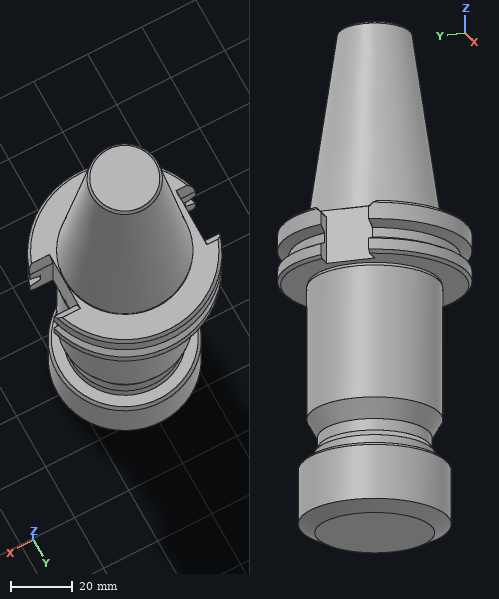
import cadquery as cq

total_height = 173.2
nut_edge_z = 3.0
nut_top_z = 22.7
collar_top_z = 26.9
neck_bottom_z = 29.0
neck_top_z = 33.0
body_bottom_z = 39.2
flange_bottom_z = 86.0
flange_top_z = 104.3
taper_base_z = 105.2

nut_diameter = 50.0
nut_face_diameter = 39.2
collar_diameter = 40.0
neck_diameter = 37.5
body_diameter = 44.5
relief_diameter = 43.8
flange_diameter = 63.5
groove_diameter = 56.1
taper_base_diameter = 44.5
taper_tip_diameter = 24.6

nut_chamfer = 1.0
relief_height = 1.0
flange_chamfer = 1.0
groove_floor_bottom_z = 92.5
groove_floor_top_z = 95.8
groove_flank_height = 1.7
tip_chamfer_radial = 0.9
tip_chamfer_height = 0.9

slot_width = 16.5
slot_chamfer = 2.5
left_floor_x = -24.8
right_floor_x = 22.2


def revolve_profile(points):
    """Revolve (diameter, height) points about the Z axis into a solid."""
    bottom, top = points[0][1], points[-1][1]
    outline = [(0, bottom)] + [(diameter / 2, z) for diameter, z in points] + [(0, top)]
    return cq.Workplane("XZ").polyline(outline).close().revolve(360, (0, 0), (0, 1))


def make_nut_and_body():
    """Clamping nut, threaded collar, neck and cylindrical body up to the flange."""
    return revolve_profile([
        (nut_face_diameter, 0),
        (nut_diameter, nut_edge_z),
        (nut_diameter, nut_top_z - nut_chamfer),
        (nut_diameter - 2 * nut_chamfer, nut_top_z),
        (collar_diameter, nut_top_z),
        (collar_diameter, collar_top_z),
        (neck_diameter, neck_bottom_z),
        (neck_diameter, neck_top_z),
        (body_diameter, body_bottom_z),
        (body_diameter, flange_bottom_z - relief_height),
        (relief_diameter, flange_bottom_z),
    ])


def make_flange():
    """Flange with a trapezoidal gripper groove and chamfered rims."""
    rim_diameter = flange_diameter - 2 * flange_chamfer
    return revolve_profile([
        (rim_diameter, flange_bottom_z),
        (flange_diameter, flange_bottom_z + flange_chamfer),
        (flange_diameter, groove_floor_bottom_z - groove_flank_height),
        (groove_diameter, groove_floor_bottom_z),
        (groove_diameter, groove_floor_top_z),
        (flange_diameter, groove_floor_top_z + groove_flank_height),
        (flange_diameter, flange_top_z - flange_chamfer),
        (rim_diameter, flange_top_z),
    ])


def make_taper():
    """Short cylindrical relief, then the steep taper with a chamfered tip."""
    return revolve_profile([
        (relief_diameter, flange_top_z),
        (relief_diameter, taper_base_z),
        (taper_base_diameter, taper_base_z),
        (taper_tip_diameter, total_height - tip_chamfer_height),
        (taper_tip_diameter - 2 * tip_chamfer_radial, total_height),
    ])


def make_slot_cutter(floor_x, direction):
    """Slot through the flange from floor_x outward, widened by chamfers at the top."""
    half_width = slot_width / 2
    top_half_width = half_width + slot_chamfer
    profile = [
        (-half_width, flange_bottom_z),
        (half_width, flange_bottom_z),
        (half_width, flange_top_z - slot_chamfer),
        (top_half_width, flange_top_z),
        (-top_half_width, flange_top_z),
        (-half_width, flange_top_z - slot_chamfer),
    ]
    plane = cq.Workplane("YZ").workplane(offset=floor_x)
    return plane.polyline(profile).close().extrude(direction * flange_diameter)


flange = make_flange()
for floor_x, direction in ((left_floor_x, -1), (right_floor_x, 1)):
    flange = flange.cut(make_slot_cutter(floor_x, direction))

result = make_nut_and_body().union(flange).union(make_taper())